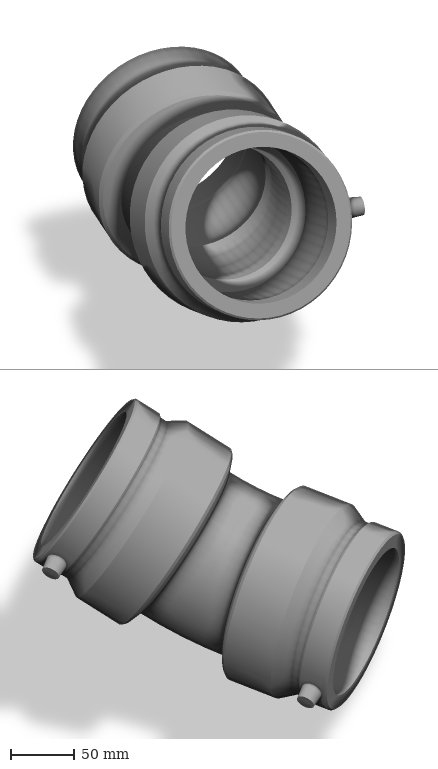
import cadquery as cq
import math

bend_angle = 22.5
leg_length = 127.7
socket_length = 94.3

collar_radius = 151.8 / 2
neck_radius = 147.1 / 2
body_radius = 165.0 / 2
tube_radius = 132.3 / 2

mouth_chamfer = 1.6
collar_end = 22.7
neck_start = 25.2
neck_end = 31.2
body_start = 45.2
body_end = 86.0
shoulder_chamfer = 2.7

mouth_bore_radius = 125.0 / 2
tube_bore_radius = 108.0 / 2
seat_bore_radius = 63.0
bore_cone_start = body_end

terminal_base_diameter = 17.0
terminal_tip_diameter = 14.8
terminal_position = 12.3
terminal_tip_y = 88.0
terminal_base_y = 70.0

half_angle = math.radians(bend_angle / 2)
bend_radius = (leg_length - socket_length) / math.tan(half_angle)


def revolve_about_x(points):
    """Solid of revolution about X from (station, radius) points."""
    return cq.Workplane("XY").polyline(points).close().revolve(360, (0, 0, 0), (1, 0, 0))


def socket_body():
    return revolve_about_x([
        (0, 0),
        (0, collar_radius - mouth_chamfer),
        (mouth_chamfer, collar_radius),
        (collar_end, collar_radius),
        (neck_start, neck_radius),
        (neck_end, neck_radius),
        (body_start, body_radius),
        (body_end, body_radius),
        (body_end + shoulder_chamfer, body_radius - shoulder_chamfer),
        (socket_length, tube_radius),
        (socket_length, 0),
    ])


def socket_bore():
    return revolve_about_x([
        (0, 0),
        (0, mouth_bore_radius),
        (collar_end, mouth_bore_radius),
        (neck_start, seat_bore_radius),
        (bore_cone_start, seat_bore_radius),
        (socket_length, tube_bore_radius),
        (socket_length, 0),
    ])


def terminal():
    """Tapered terminal pointing along +Y."""
    return (
        cq.Workplane("XY")
        .polyline([
            (0, terminal_base_y),
            (terminal_base_diameter / 2, terminal_base_y),
            (terminal_base_diameter / 2, collar_radius),
            (terminal_tip_diameter / 2, terminal_tip_y),
            (0, terminal_tip_y),
        ])
        .close()
        .revolve(360, (0, 0, 0), (0, 1, 0))
        .translate((terminal_position, 0, 0))
    )


def bend(radius):
    """Round rod following the bend from one socket to the other."""
    return (
        cq.Workplane("YZ", origin=(socket_length, 0, 0))
        .circle(radius)
        .revolve(bend_angle, (2.7, bend_radius), (0, bend_radius))
    )


def at_far_end(shape):
    """Mirror a socket feature across the middle plane of the bend."""
    turned = shape.mirror("YZ").translate((2 * leg_length, 0, 0))
    return turned.rotate((leg_length, 0, 0), (leg_length, 1, 0), -bend_angle)


outside = bend(tube_radius)
for feature in (socket_body(), terminal()):
    outside = outside.union(feature).union(at_far_end(feature))

result = outside.cut(bend(tube_bore_radius)).cut(socket_bore()).cut(at_far_end(socket_bore()))